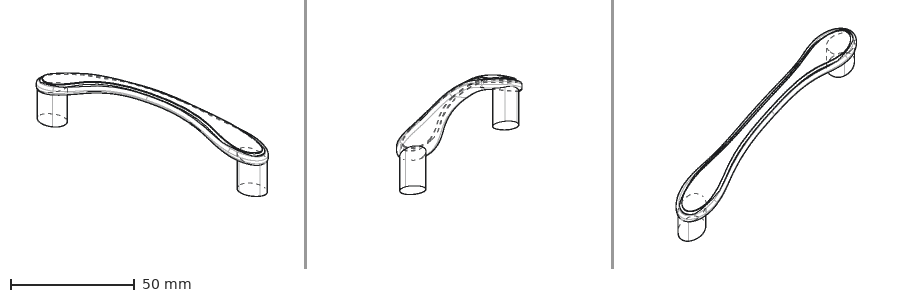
import cadquery as cq
import math

half_length = 56.4
height = 29.5

nose_length = 13.0
nose_half_width = 8.0
waist_half_width = 4.1
neck_x = 29.3
neck_half_width = 5.8

flat_start_x = 36.1
under_mid_z = 25.6
under_radius = 102.1
under_end_z = 13.5
rim_mid_z = 28.5
rim_radius = 107.1
rim_end_z = 17.5
end_slope = 0.2
rim_fillet = 1.2
edge_margin = 0.6

dome_long_radius = 145.5
dome_cross_radius = 10.2
step_inset = 1.5
step_drop = 0.5
crown_inset = 2.5

post_outer_x = 56.3
post_inner_x = 43.2
post_shoulder_x = 46.2
post_belly_x = 50.8
post_corner_x = 55.3
post_half_width = 5.0
post_shoulder_half_width = 4.4
post_corner_half_width = 2.6


def plan_prism(inset):
    """Prism on the left half of the grip outline, drawn in from its edge by inset."""
    wide_x = half_length - nose_length
    wide_y = nose_half_width - inset
    neck_y = neck_half_width - inset
    waist_y = waist_half_width - inset
    nose_reach = nose_length - inset

    return (
        cq.Workplane("XY")
        .moveTo(0, waist_y)
        .spline(
            [(-neck_x, neck_y), (-wide_x, wide_y)],
            tangents=[(-1, 0), (-1, 0)],
            includeCurrent=True,
        )
        .ellipseArc(nose_reach, wide_y, 90, 270, startAtCurrent=True)
        .spline(
            [(-neck_x, -neck_y), (0, -waist_y)],
            tangents=[(1, 0), (1, 0)],
            includeCurrent=True,
        )
        .close()
        .extrude(height)
    )


def below_arch(mid_z, radius, end_z):
    """Block under the left half of an arch whose end flattens out tangentially."""
    arch_half_width = nose_half_width + edge_margin

    def arch_z(x):
        return mid_z - radius + math.sqrt(radius**2 - x**2)

    return (
        cq.Workplane("XZ", origin=(0, arch_half_width, 0))
        .moveTo(0, 0)
        .lineTo(0, mid_z)
        .spline(
            [(-flat_start_x / 2, arch_z(flat_start_x / 2)),
             (-flat_start_x, arch_z(flat_start_x)),
             (-half_length - edge_margin, end_z)],
            tangents=[(-1, 0), (-1, -end_slope)],
            includeCurrent=True,
        )
        .lineTo(-half_length - edge_margin, 0)
        .close()
        .extrude(2 * arch_half_width)
    )


def dome(drop):
    """Barrel ring whose crest is the top of the handle, lowered by drop."""
    centre_z = height - dome_long_radius
    crest = dome_long_radius - drop
    cross_centre = crest - dome_cross_radius
    return (
        cq.Workplane("XY", origin=(0, 0, centre_z))
        .moveTo(cross_centre, -dome_cross_radius)
        .threePointArc((crest, 0), (cross_centre, dome_cross_radius))
        .close()
        .revolve(360, (0, 0, 0), (0, 1, 0))
    )


def post():
    """Post under the left end, with a narrow nose, bulging sides and a round inner face."""
    return (
        cq.Workplane("XY")
        .moveTo(-post_corner_x, post_corner_half_width)
        .threePointArc(
            (-post_belly_x, post_half_width),
            (-post_shoulder_x, post_shoulder_half_width),
        )
        .threePointArc(
            (-post_inner_x, 0),
            (-post_shoulder_x, -post_shoulder_half_width),
        )
        .threePointArc(
            (-post_belly_x, -post_half_width),
            (-post_corner_x, -post_corner_half_width),
        )
        .threePointArc(
            (-post_outer_x, 0),
            (-post_corner_x, post_corner_half_width),
        )
        .close()
        .extrude(height)
    )


underside = below_arch(under_mid_z, under_radius, under_end_z)
rim_body = below_arch(rim_mid_z, rim_radius, rim_end_z)

rim = plan_prism(0).intersect(rim_body).cut(underside)
rim = rim.edges("not(|Y or |Z)").fillet(rim_fillet)

step = plan_prism(step_inset).intersect(dome(step_drop)).cut(underside)
crown = plan_prism(crown_inset).intersect(dome(0)).cut(underside)

foot_top = below_arch(under_mid_z + rim_fillet, under_radius, under_end_z + rim_fillet)
foot = post().intersect(foot_top)
left_half = rim.union(step).union(crown).union(foot)
result = left_half.union(left_half.mirror("YZ"))